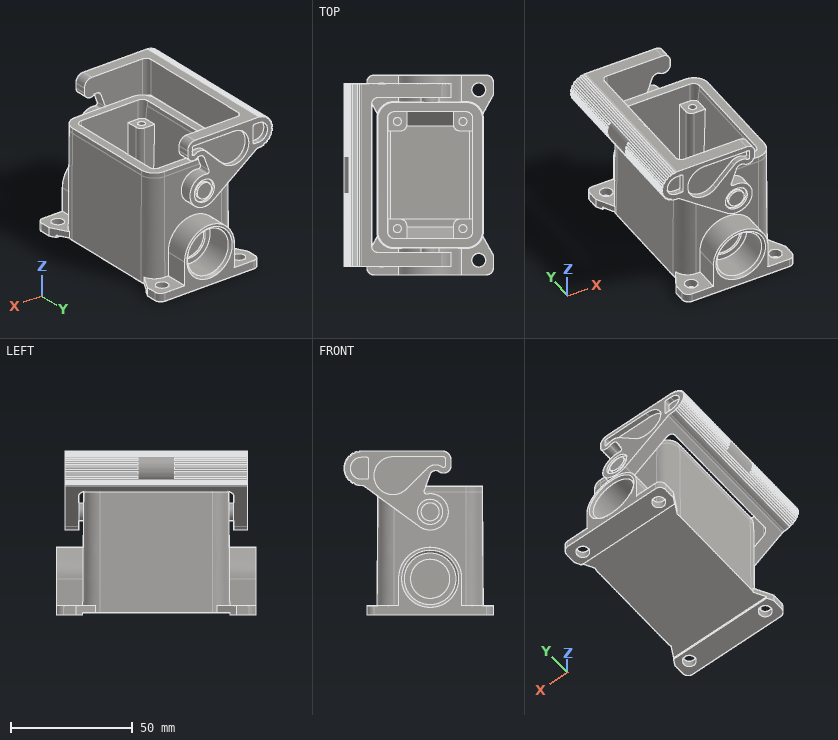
import cadquery as cq
import math


LENGTH_Y = 82.0
FLANGE_WIDTH = 52.0
FLANGE_HEIGHT = 3.9
FLANGE_CORNER_R = 2.95
FLANGE_EAR_Y = 33.0
FLANGE_NECK_X = 21.6
FLANGE_NECK_Y = 24.9
SCREW_HOLE_X = 19.9
SCREW_HOLE_Y = 34.9
SCREW_HOLE_D = 5.6

BODY_BOTTOM = 1.0
BODY_TOP = 52.9
LIP_HEIGHT = 2.4
LIP_BOTTOM = BODY_TOP - LIP_HEIGHT
BODY_WIDTH = 43.7
BODY_DEPTH = 60.35
BODY_CORNER_R = 7.05
BODY_DRAFT = 0.43

CAVITY_WIDTH = 34.9
CAVITY_DEPTH = 52.0
CAVITY_CORNER_R = 2.8
CAVITY_FLOOR = 4.1
CAVITY_FLOOR_WIDTH = 32.5
RAMP_RISE = 6.0
LEDGE_HEIGHT = 1.2

PILLAR_TOP = 44.1
PILLAR_INNER_X = 9.6
PILLAR_INNER_Y = 18.1
PILLAR_CORNER_R = 2.5
PILLAR_HOLE_X = 13.45
PILLAR_HOLE_Y = 22.0
PILLAR_HOLE_D = 3.3
PILLAR_HOLE_DEPTH = 12.3

ENTRY_Z = 14.9
ENTRY_OUTER_R = 12.95
ENTRY_BORE_R = 10.6
ENTRY_CHAMFER = 1.15
ENTRY_BORE_DEPTH = 13.4
KNOCKOUT_R = 8.0
KNOCKOUT_DEPTH = 1.0

LEVER_WIDTH = 75.0
LEVER_GAP = 63.5
LEVER_GAP_CORNER_R = 2.5
LEVER_BAR_INNER_X = -23.95
LEVER_TOP = 67.4
GRIP_R = 7.1
GRIP = (-28.2, LEVER_TOP - GRIP_R)
PIVOT = (0.0, 42.4)
PIVOT_R = 7.5
BELLY_ANGLE = 36.1
HOOK_R = 3.1
HOOK_TIP = (5.5, 61.3)
HOOK_TOP_R = 3.8
NOTCH_TOP = 59.3
NOTCH_R = 2.4
NOTCH_LEAN = 20.0
NECK_FILLET_R = 1.0
BELLY_FILLET_R = 1.6

RIM = 2.4
POCKET_DEPTH = 2.5
TEAR = (-15.25, 57.2)
TEAR_R = 7.8
GRIP_POCKET_R = 4.5
GRIP_POCKET_FLAT_X = -25.3
GRIP_POCKET_CORNER_R = 0.65
PIN_R = 3.7
PIN_ROOT = 1.6
PIN_RECESS_R = 5.2
PIN_RECESS_DEPTH = 1.0

GROOVE_STEP = 16
GROOVE_FIRST = -64
GROOVE_LAST = 80
GROOVE_WIDTH = 1.0
GROOVE_DEPTH = 0.29
LAND_ANGLE = 32
LAND_LENGTH = 15.1


def on_circle(center, radius, degrees):
    angle = math.radians(degrees)
    return (center[0] + radius * math.cos(angle), center[1] + radius * math.sin(angle))


def bearing(start, end):
    """Direction from start to end, in degrees."""
    return math.degrees(math.atan2(end[1] - start[1], end[0] - start[0]))


def ray_to_circle(start, degrees, center, radius):
    """First point where a ray meets a circle."""
    step = on_circle((0, 0), 1, degrees)
    offset = (start[0] - center[0], start[1] - center[1])
    along = offset[0] * step[0] + offset[1] * step[1]
    gap = offset[0] ** 2 + offset[1] ** 2 - radius ** 2
    travel = -along - math.sqrt(along ** 2 - gap)
    return (start[0] + travel * step[0], start[1] + travel * step[1])


def rounded_block(width, depth, bottom, top, corner_r):
    block = cq.Workplane("XY").workplane(offset=bottom).rect(width, depth).extrude(top - bottom)
    return block.edges("|Z").fillet(corner_r)


def block_between(x0, x1, y0, y1, z0, z1):
    return cq.Workplane("XY").box(x1 - x0, y1 - y0, z1 - z0, centered=False).translate((x0, y0, z0))


def along_y(y):
    """Workplane at the given Y whose axes are X and Z and which extrudes towards -Y."""
    return cq.Workplane("XZ", origin=(0, y, 0))


def both_ends(shape):
    return shape.union(shape.mirror("XZ"))


def make_body():
    outline = cq.Sketch().rect(BODY_WIDTH, BODY_DEPTH).vertices().fillet(BODY_CORNER_R)
    drafted_height = LIP_BOTTOM - BODY_BOTTOM
    body = (
        cq.Workplane("XY").workplane(offset=BODY_BOTTOM)
        .placeSketch(outline).extrude(drafted_height, taper=BODY_DRAFT)
    )
    inset = drafted_height * math.tan(math.radians(BODY_DRAFT))
    lip = rounded_block(
        BODY_WIDTH - 2 * inset, BODY_DEPTH - 2 * inset, LIP_BOTTOM, BODY_TOP, BODY_CORNER_R - inset
    )
    return body.union(lip)


def make_flange():
    """Flange at the -Y end; its underside is raised where it runs under the body."""
    end_y = LENGTH_Y / 2
    half = FLANGE_WIDTH / 2
    flange = (
        cq.Workplane("XY")
        .polyline([
            (-half, -end_y), (half, -end_y), (half, -FLANGE_EAR_Y), (FLANGE_NECK_X, -FLANGE_NECK_Y),
            (-FLANGE_NECK_X, -FLANGE_NECK_Y), (-half, -FLANGE_EAR_Y),
        ])
        .close().extrude(FLANGE_HEIGHT)
    )
    flange = flange.edges("|Z and <Y").fillet(FLANGE_CORNER_R)
    holes = (
        cq.Workplane("XY")
        .pushPoints([(-SCREW_HOLE_X, -SCREW_HOLE_Y), (SCREW_HOLE_X, -SCREW_HOLE_Y)])
        .circle(SCREW_HOLE_D / 2).extrude(FLANGE_HEIGHT)
    )
    relief = block_between(-half, half, -BODY_DEPTH / 2, 0, 0, BODY_BOTTOM)
    return flange.cut(holes).cut(relief)


def make_entry():
    """Arched cable entry boss at the -Y end, rooted in the body as deep as the flange."""
    length = LENGTH_Y / 2 - FLANGE_NECK_Y
    boss = along_y(-FLANGE_NECK_Y).center(0, ENTRY_Z).circle(ENTRY_OUTER_R).extrude(length)
    foot = block_between(
        -ENTRY_OUTER_R, ENTRY_OUTER_R, -LENGTH_Y / 2, -FLANGE_NECK_Y, BODY_BOTTOM, ENTRY_Z
    )
    return boss.union(foot)


def make_entry_bore():
    """Chamfered blind bore with a knockout recess in its floor, at the -Y end."""
    floor_y = ENTRY_BORE_DEPTH - LENGTH_Y / 2
    mouth_r = ENTRY_BORE_R + ENTRY_CHAMFER
    profile = [
        (0, -LENGTH_Y / 2), (mouth_r, -LENGTH_Y / 2), (ENTRY_BORE_R, ENTRY_CHAMFER - LENGTH_Y / 2),
        (ENTRY_BORE_R, floor_y), (KNOCKOUT_R, floor_y), (KNOCKOUT_R, floor_y + KNOCKOUT_DEPTH),
        (0, floor_y + KNOCKOUT_DEPTH),
    ]
    bore = cq.Workplane("XY").polyline(profile).close().revolve(360, (0, 0, 0), (0, 1, 0))
    return bore.translate((0, 0, ENTRY_Z))


def make_pillar():
    """Screw pillar in the +X, +Y corner."""
    pillar = block_between(
        PILLAR_INNER_X, BODY_WIDTH / 2, PILLAR_INNER_Y, BODY_DEPTH / 2, CAVITY_FLOOR, PILLAR_TOP
    )
    pillar = pillar.edges("|Z and <X and <Y").fillet(PILLAR_CORNER_R)
    hole = (
        cq.Workplane("XY").workplane(offset=PILLAR_TOP).center(PILLAR_HOLE_X, PILLAR_HOLE_Y)
        .circle(PILLAR_HOLE_D / 2).extrude(-PILLAR_HOLE_DEPTH)
    )
    return pillar.cut(hole)


def make_ramps():
    """45 degree ramps at the two ends of the floor; the -Y ramp stops at a ledge."""
    wall_y = CAVITY_DEPTH / 2
    ramp_top = CAVITY_FLOOR + RAMP_RISE
    ledge_z = CAVITY_FLOOR + LEDGE_HEIGHT
    plain = [(wall_y, CAVITY_FLOOR), (wall_y, ramp_top), (wall_y - RAMP_RISE, CAVITY_FLOOR)]
    ledged = [
        (-wall_y, CAVITY_FLOOR), (-wall_y, ramp_top), (-wall_y + RAMP_RISE - LEDGE_HEIGHT, ledge_z),
        (-PILLAR_INNER_Y, ledge_z), (-PILLAR_INNER_Y, CAVITY_FLOOR),
    ]
    ramps = cq.Workplane("YZ").polyline(plain).close().extrude(CAVITY_WIDTH / 2, both=True)
    return ramps.union(cq.Workplane("YZ").polyline(ledged).close().extrude(CAVITY_WIDTH / 2, both=True))


def make_cavity():
    """The hollow itself, already reduced by the pillars and ramps standing in it."""
    top = CAVITY_WIDTH / 2
    bottom = CAVITY_FLOOR_WIDTH / 2
    section = [
        (-bottom, CAVITY_FLOOR), (bottom, CAVITY_FLOOR), (top, LIP_BOTTOM), (top, BODY_TOP),
        (-top, BODY_TOP), (-top, LIP_BOTTOM),
    ]
    cavity = along_y(CAVITY_DEPTH / 2).polyline(section).close().extrude(CAVITY_DEPTH)
    cavity = cavity.intersect(
        rounded_block(CAVITY_WIDTH, CAVITY_DEPTH, CAVITY_FLOOR, BODY_TOP, CAVITY_CORNER_R)
    )
    pillars = both_ends(make_pillar())
    return cavity.cut(pillars).cut(pillars.mirror("YZ")).cut(make_ramps())


def notch_center():
    """Center of the notch arc, which blends smoothly into the hook tip."""
    z = NOTCH_TOP - NOTCH_R
    x = HOOK_TIP[0] - math.sqrt((HOOK_R + NOTCH_R) ** 2 - (HOOK_TIP[1] - z) ** 2)
    return (x, z)


def make_lever_plate():
    """Side outline of the lever, extruded over its whole width."""
    notch = notch_center()
    hook_top = (HOOK_TIP[0] + HOOK_R - HOOK_TOP_R, LEVER_TOP - HOOK_TOP_R)
    to_notch = bearing(HOOK_TIP, notch)
    blend = on_circle(HOOK_TIP, HOOK_R, to_notch)
    notch_end = on_circle(notch, NOTCH_R, 180 - NOTCH_LEAN)
    neck = ray_to_circle(notch_end, 270 - NOTCH_LEAN, PIVOT, PIVOT_R)
    belly = on_circle(PIVOT, PIVOT_R, 270 - BELLY_ANGLE)
    grip_end = ray_to_circle(belly, 180 - BELLY_ANGLE, GRIP, GRIP_R)
    plate = (
        along_y(LEVER_WIDTH / 2)
        .moveTo(GRIP[0], LEVER_TOP)
        .lineTo(hook_top[0], LEVER_TOP)
        .threePointArc(on_circle(hook_top, HOOK_TOP_R, 45), on_circle(hook_top, HOOK_TOP_R, 0))
        .lineTo(*on_circle(HOOK_TIP, HOOK_R, 0))
        .threePointArc(on_circle(HOOK_TIP, HOOK_R, to_notch / 2), blend)
        .threePointArc(on_circle(notch, NOTCH_R, 90), notch_end)
        .lineTo(*neck)
        .threePointArc(on_circle(PIVOT, PIVOT_R, 0), belly)
        .lineTo(*grip_end)
        .threePointArc(on_circle(GRIP, GRIP_R, 180), (GRIP[0], LEVER_TOP))
        .close().extrude(LEVER_WIDTH)
    )
    for corner, radius in ((neck, NECK_FILLET_R), (grip_end, BELLY_FILLET_R)):
        plate = plate.edges(cq.selectors.NearestToPointSelector((corner[0], 0, corner[1]))).fillet(radius)
    return plate


def make_lever_gap():
    """Space between the two arms, closed by the grip bar at -X."""
    reach = HOOK_TIP[0] + HOOK_R
    gap = block_between(
        LEVER_BAR_INNER_X, reach + LEVER_GAP_CORNER_R, -LEVER_GAP / 2, LEVER_GAP / 2, 0, LEVER_TOP
    )
    return gap.edges("|Z and <X").fillet(LEVER_GAP_CORNER_R)


def make_tear_pocket():
    """Teardrop recess on the -Y arm, running a rim's width inside the hook and notch."""
    notch = notch_center()
    notch_r = NOTCH_R + RIM
    tip_r = HOOK_R - RIM
    top = LEVER_TOP - RIM
    right = HOOK_TIP[0] + tip_r
    to_notch = bearing(HOOK_TIP, notch)
    blend = on_circle(HOOK_TIP, tip_r, to_notch)
    swing = math.degrees(math.acos((TEAR_R + notch_r) / math.dist(TEAR, notch)))
    normal = bearing(TEAR, notch) - swing
    return (
        along_y(POCKET_DEPTH - LEVER_WIDTH / 2)
        .moveTo(TEAR[0], TEAR[1] + TEAR_R)
        .lineTo(HOOK_TIP[0], top)
        .threePointArc(on_circle((HOOK_TIP[0], top - tip_r), tip_r, 45), (right, top - tip_r))
        .lineTo(right, HOOK_TIP[1])
        .threePointArc(on_circle(HOOK_TIP, tip_r, to_notch / 2), blend)
        .threePointArc(on_circle(notch, notch_r, 90), on_circle(notch, notch_r, normal + 180))
        .lineTo(*on_circle(TEAR, TEAR_R, normal))
        .threePointArc(on_circle(TEAR, TEAR_R, 180), (TEAR[0], TEAR[1] + TEAR_R))
        .close().extrude(POCKET_DEPTH)
    )


def make_grip_pocket():
    """D-shaped recess in the end of the grip bar."""
    pocket = (
        along_y(POCKET_DEPTH - LEVER_WIDTH / 2)
        .moveTo(GRIP[0], GRIP[1] + GRIP_POCKET_R)
        .lineTo(GRIP_POCKET_FLAT_X, GRIP[1] + GRIP_POCKET_R)
        .lineTo(GRIP_POCKET_FLAT_X, GRIP[1] - GRIP_POCKET_R)
        .lineTo(GRIP[0], GRIP[1] - GRIP_POCKET_R)
        .threePointArc(on_circle(GRIP, GRIP_POCKET_R, 180), (GRIP[0], GRIP[1] + GRIP_POCKET_R))
        .close().extrude(POCKET_DEPTH)
    )
    return pocket.edges("|Y and >X").fillet(GRIP_POCKET_CORNER_R)


def make_pin_recess():
    """Round recess in the -Y arm around the pivot pin."""
    floor = along_y(PIN_RECESS_DEPTH - LEVER_WIDTH / 2).center(*PIVOT)
    return floor.circle(PIN_RECESS_R).extrude(PIN_RECESS_DEPTH)


def make_pin():
    """Pivot pin from the housing wall to the outer face of the -Y arm."""
    length = (LEVER_WIDTH - BODY_DEPTH) / 2 + PIN_ROOT
    return along_y(length - LEVER_WIDTH / 2).center(*PIVOT).circle(PIN_R).extrude(length)


def cut_grip_grooves(lever):
    """Grooves along the bar; those near the middle stop at a smooth central land."""
    end_y = LEVER_WIDTH / 2
    for angle in range(GROOVE_FIRST, GROOVE_LAST + 1, GROOVE_STEP):
        groove = block_between(
            -GRIP_R - GROOVE_DEPTH, -GRIP_R + GROOVE_DEPTH, -end_y, end_y, -GROOVE_WIDTH / 2, GROOVE_WIDTH / 2
        )
        if abs(angle) <= LAND_ANGLE:
            land = cq.Workplane("XY").box(4 * GRIP_R, LAND_LENGTH, GROOVE_WIDTH)
            groove = groove.cut(land)
        groove = groove.rotate((0, 0, 0), (0, 1, 0), angle)
        lever = lever.cut(groove.translate((GRIP[0], 0, GRIP[1])))
    return lever


def make_lever():
    lever = make_lever_plate().cut(make_lever_gap())
    for recess in (make_tear_pocket(), make_grip_pocket(), make_pin_recess()):
        lever = lever.cut(both_ends(recess))
    return cut_grip_grooves(lever)


housing = make_body().union(both_ends(make_flange())).union(both_ends(make_entry()))
housing = housing.cut(both_ends(make_entry_bore())).cut(make_cavity())
result = housing.union(both_ends(make_pin())).union(make_lever())